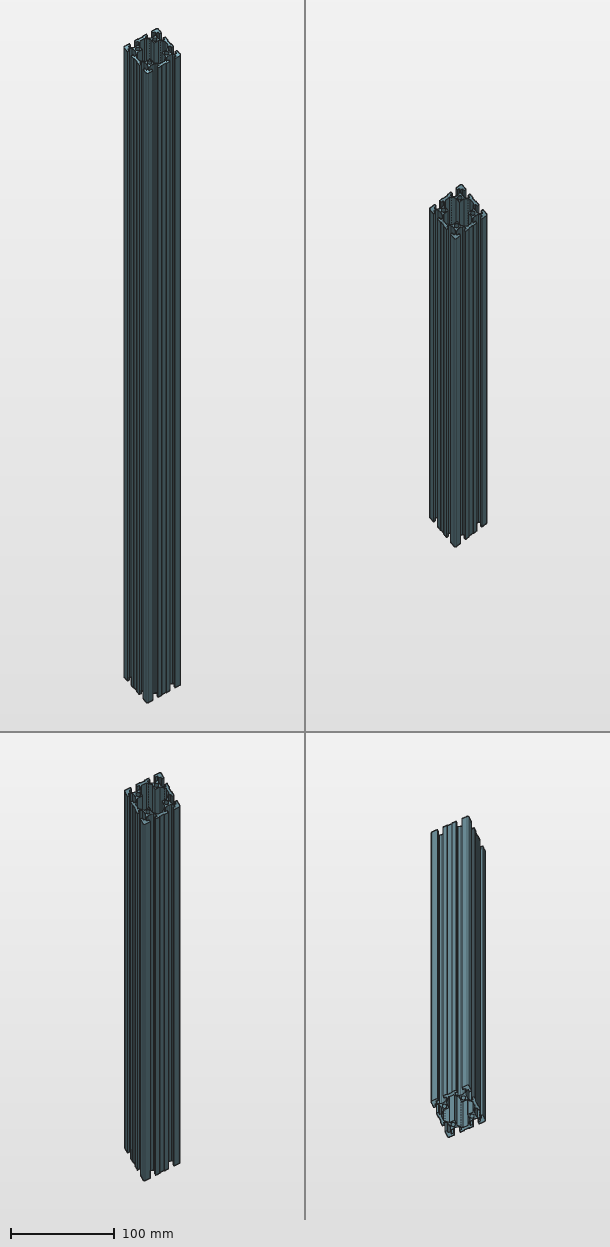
import cadquery as cq
import math

side = 40.0
length = 1000.0
half_side = side / 2
corner_radius = 1.5

slot_pitch = side / 2
slot_opening = 6.0
lip_thickness = 2.3
cavity_width = 10.8
cavity_straight_depth = 1.8
slot_depth = 6.4
slot_floor_width = 2.6
slot_floor_slope = 17.5
slot_shoulder_width = 7.0

groove_width = 5.0
groove_depth = 0.5

channel_diameter = 4.2

hollow_bar_width = 13.7
hollow_span = 33.4
hollow_end_width = 5.0


def base_plane():
    """Workplane at the lower end of the bar, whose middle is at Z = 0."""
    return cq.Workplane("XY").workplane(offset=-length / 2)


def turned(point, quarter_turns):
    """A point of the +Y side moved onto the side that lies some quarter turns clockwise."""
    x, y = point
    for _ in range(quarter_turns):
        x, y = y, -x
    return x, y


def slot_path(center_x):
    """Points along one T-slot of the +Y side, from the left edge of its mouth to the right one."""
    half_opening = slot_opening / 2
    lip_inner_y = half_side - lip_thickness
    floor_y = half_side - slot_depth
    shoulder_run = (slot_shoulder_width - slot_floor_width) / 2
    shoulder_rise = shoulder_run * math.tan(math.radians(slot_floor_slope))
    half_slot = [
        (half_opening, half_side),
        (half_opening, lip_inner_y),
        (cavity_width / 2, lip_inner_y),
        (cavity_width / 2, lip_inner_y - cavity_straight_depth),
        (slot_shoulder_width / 2, floor_y + shoulder_rise),
        (slot_floor_width / 2, floor_y),
    ]
    points = [(center_x - x, y) for x, y in half_slot]
    points += [(center_x + x, y) for x, y in reversed(half_slot)]
    return points


def groove_path():
    half_groove = groove_width / 2
    groove_floor_y = half_side - groove_depth
    return [
        (-half_groove, half_side),
        (-half_groove, groove_floor_y),
        (half_groove, groove_floor_y),
        (half_groove, half_side),
    ]


def outer_body():
    """The full bar without its inner openings, drawn clockwise from the top left corner."""
    corner_start = (half_side - corner_radius, half_side)
    corner_end = (half_side, half_side - corner_radius)
    side_points = slot_path(-slot_pitch / 2) + groove_path() + slot_path(slot_pitch / 2)
    side_points.append(corner_start)

    outline = base_plane().moveTo(corner_radius - half_side, half_side)
    for quarter_turns in range(4):
        for point in side_points:
            outline = outline.lineTo(*turned(point, quarter_turns))
        outline = outline.radiusArc(turned(corner_end, quarter_turns), corner_radius)
    return outline.close().extrude(length)


def hollow_cutter():
    half_bar = hollow_bar_width / 2
    half_span = hollow_span / 2
    half_end = hollow_end_width / 2
    taper_start = half_span - (half_bar - half_end)
    arm = [
        (-half_bar, half_bar),
        (-half_bar, taper_start),
        (-half_end, half_span),
        (half_end, half_span),
        (half_bar, taper_start),
    ]
    points = [turned(p, quarter_turns) for quarter_turns in range(4) for p in arm]
    return base_plane().polyline(points).close().extrude(length)


def channel_cutter():
    centers = base_plane().rarray(slot_pitch, slot_pitch, 2, 2)
    return centers.circle(channel_diameter / 2).extrude(length)


result = outer_body().cut(hollow_cutter()).cut(channel_cutter())